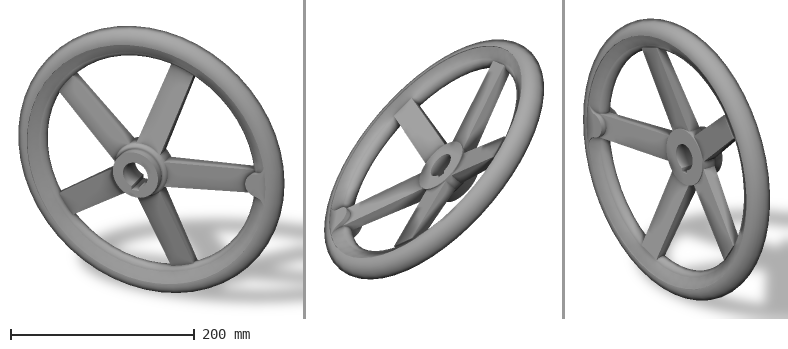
import cadquery as cq
import math

wheel_radius = 157.5
rim_thickness = 27.7
rim_round = rim_thickness / 2
rim_crest_radius = wheel_radius - rim_round
rim_front = -rim_thickness / 2
rim_back = rim_thickness / 2

lip_depth = 1.3
lip_radius = 287.0 / 2 - 1.3
rim_inner_radius = 124.5
cone_inner_radius = 130.5
cone_inner_depth = 7.2

hub_front = -42.2
hub_back = -10.7
collar_diameter = 54.0
flange_radius = 31.8
collar_fillet = 6.3
collar_end = -32.0
bore_diameter = 29.5
key_width = 8.8
key_reach = 18.5

spoke_count = 5
spoke_root_radius = 19.0
spoke_tip_radius = 126.5
spoke_root_width = 30.0
spoke_tip_width = 27.7
spoke_slope = 0.257
spoke_front_at_hub = -27.0
spoke_root_depth = 15.7
spoke_tip_depth = 10.5

boss_centre = 131.0
boss_radius = 13.5
boss_flare = 12.0


def ring(profile):
    """Revolve an XY profile about the Y axis."""
    return profile.close().revolve(360, (0, 0, 0), (0, 1, 0))


def make_rim():
    return ring(
        cq.Workplane("XY")
        .moveTo(rim_crest_radius, rim_front)
        .threePointArc((wheel_radius, 0), (rim_crest_radius, rim_back))
        .lineTo(lip_radius, rim_back)
        .lineTo(lip_radius, rim_back - lip_depth)
        .lineTo(cone_inner_radius, cone_inner_depth)
        .threePointArc((rim_inner_radius, 0), (cone_inner_radius, -cone_inner_depth))
        .lineTo(lip_radius, rim_front + lip_depth)
        .lineTo(lip_radius, rim_front)
    )


def make_hub():
    collar_radius = collar_diameter / 2
    edge_offset = collar_radius + collar_fillet - flange_radius
    flange_front = collar_end + math.sqrt(collar_fillet**2 - edge_offset**2)
    return ring(
        cq.Workplane("XY")
        .moveTo(0, hub_front)
        .lineTo(collar_radius, hub_front)
        .lineTo(collar_radius, collar_end)
        .radiusArc((flange_radius, flange_front), -collar_fillet)
        .lineTo(flange_radius, hub_back)
        .lineTo(0, hub_back)
    )


def make_spoke():
    """One spoke along +X, tapering in width and depth and raked backward."""
    def front(radius):
        return spoke_front_at_hub + spoke_slope * (radius - flange_radius)

    root_front = front(spoke_root_radius)
    tip_front = front(spoke_tip_radius)
    side = (
        cq.Workplane("XY", origin=(0, 0, -spoke_root_width))
        .polyline([
            (spoke_root_radius, root_front),
            (spoke_tip_radius, tip_front),
            (spoke_tip_radius, tip_front + spoke_tip_depth),
            (spoke_root_radius, root_front + spoke_root_depth),
        ])
        .close()
        .extrude(2 * spoke_root_width)
    )
    plan = (
        cq.Workplane("XZ", origin=(0, hub_front, 0))
        .polyline([
            (spoke_root_radius, -spoke_root_width / 2),
            (spoke_tip_radius, -spoke_tip_width / 2),
            (spoke_tip_radius, spoke_tip_width / 2),
            (spoke_root_radius, spoke_root_width / 2),
        ])
        .close()
        .extrude(-(rim_back - hub_front))
    )
    return side.intersect(plan)


def make_handle_boss():
    """Flat-faced handle boss flaring tangentially into the crest of the rim."""
    flare_distance = lip_radius - boss_flare
    centre_gap = boss_radius + boss_flare
    flare_x = (flare_distance**2 - centre_gap**2 + boss_centre**2) / (2 * boss_centre)
    flare_z = math.sqrt(flare_distance**2 - flare_x**2)
    touch_x = boss_centre + (flare_x - boss_centre) * boss_radius / centre_gap
    touch_z = flare_z * boss_radius / centre_gap
    rim_x = flare_x * lip_radius / flare_distance
    rim_z = flare_z * lip_radius / flare_distance
    bisector = math.atan2(touch_z + rim_z - 2 * flare_z, touch_x + rim_x - 2 * flare_x)
    middle_x = flare_x + boss_flare * math.cos(bisector)
    middle_z = flare_z + boss_flare * math.sin(bisector)
    return (
        cq.Workplane("XZ", origin=(0, rim_front + lip_depth, 0))
        .moveTo(rim_x, -rim_z)
        .threePointArc((middle_x, -middle_z), (touch_x, -touch_z))
        .threePointArc((boss_centre - boss_radius, 0), (touch_x, touch_z))
        .threePointArc((middle_x, middle_z), (rim_x, rim_z))
        .threePointArc((lip_radius, 0), (rim_x, -rim_z))
        .close()
        .extrude(-(rim_thickness - 2 * lip_depth))
    )


def make_bore():
    length = hub_back - hub_front
    face = cq.Workplane("XZ", origin=(0, hub_front, 0))
    bore = face.circle(bore_diameter / 2).extrude(-length)
    keyway = face.center(0, -key_reach / 2).rect(key_width, key_reach).extrude(-length)
    return bore.union(keyway)


result = make_rim().union(make_hub())
spoke = make_spoke()
for index in range(spoke_count):
    angle = index * 360 / spoke_count
    result = result.union(spoke.rotate((0, 0, 0), (0, 1, 0), angle))
result = result.union(make_handle_boss()).cut(make_bore())